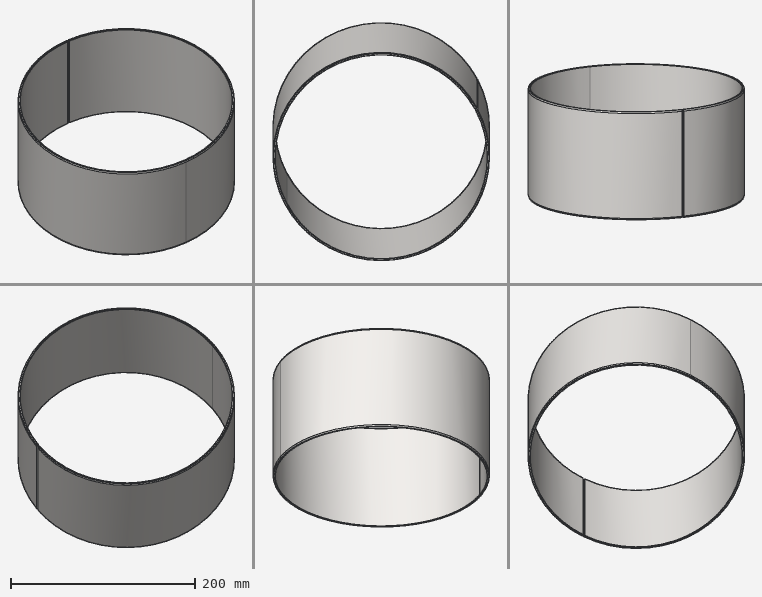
import cadquery as cq

outer_diameter = 235.0
wall = 2.5
length = 120.0
outer_chamfer_length = 1.6
outer_chamfer_depth = 0.7
inner_chamfer = 0.5
slit_width = 2.0

outer_radius = outer_diameter / 2
inner_radius = outer_radius - wall
half_length = length / 2

wall_section = (
    cq.Workplane("XZ")
    .moveTo(inner_radius + inner_chamfer, -half_length)
    .lineTo(outer_radius - outer_chamfer_depth, -half_length)
    .lineTo(outer_radius, -half_length + outer_chamfer_length)
    .lineTo(outer_radius, half_length - outer_chamfer_length)
    .lineTo(outer_radius - outer_chamfer_depth, half_length)
    .lineTo(inner_radius + inner_chamfer, half_length)
    .lineTo(inner_radius, half_length - inner_chamfer)
    .lineTo(inner_radius, -half_length + inner_chamfer)
    .close()
)
sleeve = wall_section.revolve(360, (0, 0, 0), (0, 1, 0))

slit = (
    cq.Workplane("XY")
    .box(outer_diameter, slit_width, length)
    .translate((-outer_radius, slit_width / 2, 0))
)

result = sleeve.cut(slit)